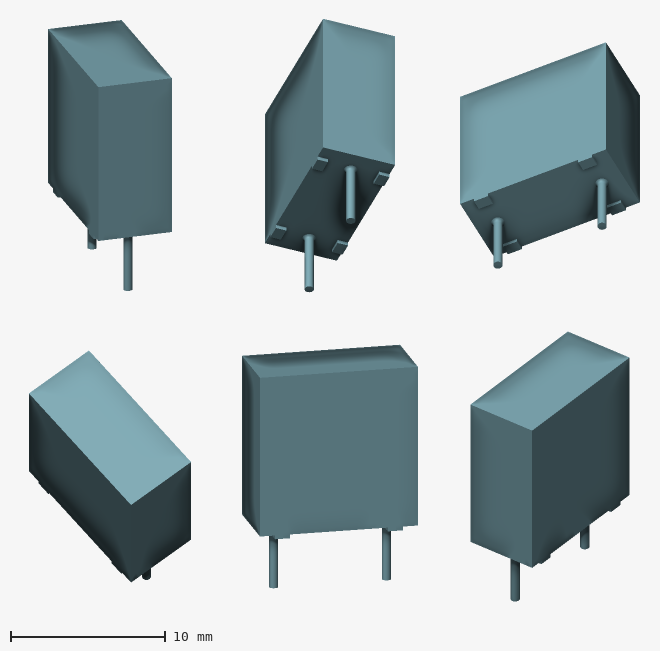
import cadquery as cq
import math

body_length = 10.5
body_width = 5.0
overall_height = 15.0

foot_height = 0.25
foot_length = 1.0
foot_width = 0.72

pin_diameter = 0.6
pin_pitch = 7.5
pin_length = 4.0
flare_radius = 0.3

pin_radius = pin_diameter / 2
body_bottom = pin_length + foot_height
body_height = overall_height - body_bottom
foot_center_y = (body_width - foot_width) / 2
flare_spread = flare_radius - math.sqrt(flare_radius**2 - foot_height**2)
pin_positions = [(-pin_pitch / 2, 0), (pin_pitch / 2, 0)]


def make_body():
    """Rectangular case, centred in X and Y, with the pin tips at Z = 0."""
    return (
        cq.Workplane("XY", origin=(0, 0, body_bottom))
        .box(body_length, body_width, body_height, centered=(True, True, False))
    )


def make_feet():
    """Four feet in line with the pins, flush with the long sides of the case."""
    return (
        cq.Workplane("XY", origin=(0, 0, pin_length))
        .rect(pin_pitch, 2 * foot_center_y, forConstruction=True)
        .vertices()
        .rect(foot_length, foot_width)
        .extrude(foot_height)
    )


def make_pin(x, y):
    """Round pin that flares out in a concave arc, tangent to the pin, up to the case."""
    half_profile = (
        cq.Workplane("XZ")
        .lineTo(pin_radius, 0)
        .lineTo(pin_radius, pin_length)
        .radiusArc((pin_radius + flare_spread, body_bottom), flare_radius)
        .lineTo(0, body_bottom)
        .close()
    )
    return half_profile.revolve(360, (0, 0, 0), (0, 1, 0)).translate((x, y, 0))


result = make_body().union(make_feet())
for pin_x, pin_y in pin_positions:
    result = result.union(make_pin(pin_x, pin_y))